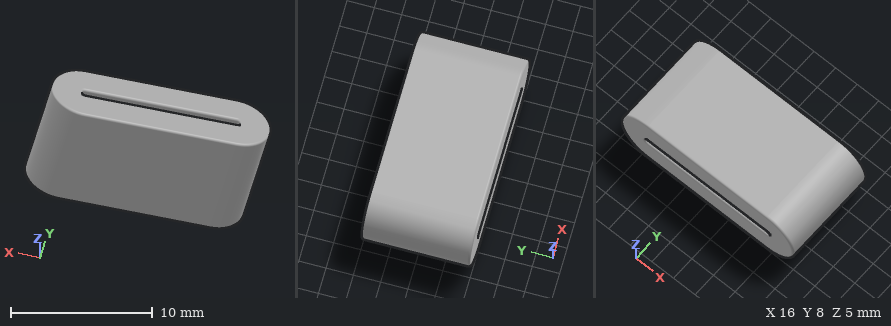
import cadquery as cq

length = 16.0
depth = 8.0
height = 5.0
slot_height = 0.5
edge_radius = 0.2

end_spacing = length - height
slot_length = end_spacing + slot_height


def round_ended_bar(bar_length, bar_height):
    """Bar with semicircular ends, running the full depth along Y."""
    return (
        cq.Workplane("XZ")
        .slot2D(bar_length, bar_height)
        .extrude(depth / 2, both=True)
    )


body = round_ended_bar(length, height)
slot = round_ended_bar(slot_length, slot_height)

result = body.cut(slot).faces("<Y or >Y").edges().fillet(edge_radius)